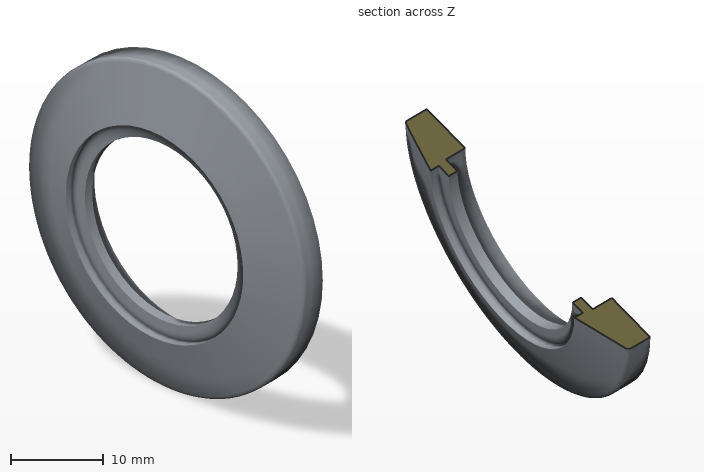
import cadquery as cq
import math

outer_diameter = 40.0
thickness = 4.9
bore_diameter = 22.1
cone_angle = 15.0
rim_fillet_radius = 0.5
front_land_diameter = 25.8
socket_diameter = 25.7
socket_depth = 1.1
recess_diameter = 26.2
recess_depth = 2.6

outer_radius = outer_diameter / 2
land_radius = front_land_diameter / 2
cone_height = (outer_radius - land_radius) * math.tan(math.radians(cone_angle))
rim_height = thickness - cone_height


def disc(diameter, back, front):
    """Cylinder on the Y axis; back and front are distances in front of the back face."""
    plane = cq.Workplane("XZ").workplane(offset=back)
    return plane.circle(diameter / 2).extrude(front - back)


def flange_body():
    """Solid disc with a cylindrical rim and a conical front, revolved about Y."""
    profile = (
        cq.Workplane("XY")
        .moveTo(0, 0)
        .lineTo(outer_radius, 0)
        .lineTo(outer_radius, -rim_height)
        .lineTo(land_radius, -thickness)
        .lineTo(0, -thickness)
        .close()
    )
    body = profile.revolve(360, (0, 0, 0), (0, 1, 0))
    rim_edge = body.edges(cq.selectors.RadiusNthSelector(-1)).edges("<Y")
    return rim_edge.fillet(rim_fillet_radius)


bore = disc(bore_diameter, 0, thickness)
front_socket = disc(socket_diameter, thickness - socket_depth, thickness)
back_recess = disc(recess_diameter, 0, recess_depth)

result = flange_body().cut(bore).cut(front_socket).cut(back_recess)